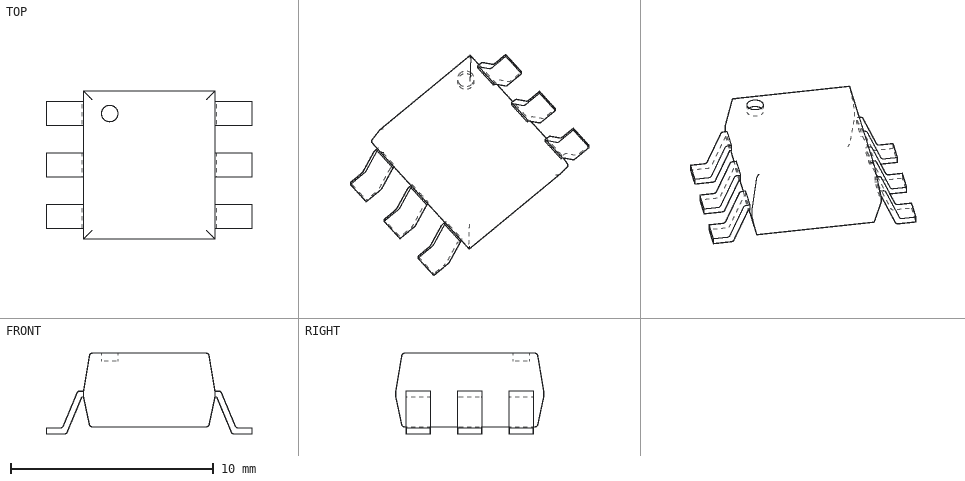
import cadquery as cq
import math

LEAD_SPAN = 10.16
BODY_LENGTH = 6.49
BODY_WIDTH = 7.3
TOTAL_HEIGHT = 4.0
STANDOFF = 0.35

LEAD_THICKNESS = 0.3
BAND_TOP = 2.12
BAND_BOTTOM = BAND_TOP - LEAD_THICKNESS

UPPER_DRAFT = 9.5
LOWER_DRAFT = 12.0
BODY_FILLET = 0.17

MARK_DIAMETER = 0.81
MARK_DEPTH = 0.4
MARK_X = -1.95

LEADS_PER_SIDE = 3
LEAD_PITCH = 2.54
LEAD_WIDTH = 1.2
FOOT_LENGTH = 0.79
SHOULDER_LENGTH = 0.28
BEND_RADIUS = 0.15


def make_half(start_z, height, draft):
    """One drafted half of the body, widest at the band; a negative height goes down."""
    half = (
        cq.Workplane("XY")
        .workplane(offset=start_z)
        .rect(BODY_LENGTH, BODY_WIDTH)
        .extrude(height, taper=draft)
    )
    end_face = ">Z" if height > 0 else "<Z"
    return half.faces(end_face).edges().fillet(BODY_FILLET)


def make_body():
    """Molded body: a straight band between two drafted halves, with the pin-one mark."""
    band = (
        cq.Workplane("XY")
        .workplane(offset=BAND_BOTTOM)
        .rect(BODY_LENGTH, BODY_WIDTH)
        .extrude(LEAD_THICKNESS)
    )
    upper = make_half(BAND_TOP, TOTAL_HEIGHT - BAND_TOP, UPPER_DRAFT)
    lower = make_half(BAND_BOTTOM, STANDOFF - BAND_BOTTOM, LOWER_DRAFT)
    mark = (
        cq.Workplane("XY")
        .workplane(offset=TOTAL_HEIGHT - MARK_DEPTH)
        .center(MARK_X, LEAD_PITCH)
        .circle(MARK_DIAMETER / 2)
        .extrude(MARK_DEPTH)
    )
    return band.union(upper).union(lower).cut(mark)


def make_lead(y_center):
    """Lead on the +X side: shoulder, sloping leg and foot of one thickness."""
    body_face = BODY_LENGTH / 2
    tip = LEAD_SPAN / 2
    shoulder_bend = body_face + SHOULDER_LENGTH
    foot_bend = tip - FOOT_LENGTH

    leg_angle = math.atan2(BAND_TOP - LEAD_THICKNESS, foot_bend - shoulder_bend)
    bend_shift = LEAD_THICKNESS * math.tan(leg_angle / 2)

    upper_outer = (shoulder_bend, BAND_TOP)
    upper_inner = (shoulder_bend - bend_shift, BAND_BOTTOM)
    lower_inner = (foot_bend, LEAD_THICKNESS)
    lower_outer = (foot_bend - bend_shift, 0)

    lead = (
        cq.Workplane("XZ", origin=(0, y_center, 0))
        .moveTo(body_face, BAND_TOP)
        .lineTo(*upper_outer)
        .lineTo(*lower_inner)
        .lineTo(tip, LEAD_THICKNESS)
        .lineTo(tip, 0)
        .lineTo(*lower_outer)
        .lineTo(*upper_inner)
        .lineTo(body_face, BAND_BOTTOM)
        .close()
        .extrude(LEAD_WIDTH / 2, both=True)
    )
    for x, z in (upper_outer, lower_inner, lower_outer):
        bend_edge = lead.edges(cq.NearestToPointSelector((x, y_center, z)))
        lead = bend_edge.fillet(BEND_RADIUS)
    return lead


body = make_body()

leads = []
for row in range(LEADS_PER_SIDE):
    y_center = (row - (LEADS_PER_SIDE - 1) / 2) * LEAD_PITCH
    right_lead = make_lead(y_center)
    left_lead = right_lead.mirror("YZ")
    leads += [right_lead.solids().val(), left_lead.solids().val()]

result = cq.Compound.makeCompound([body.solids().val(), *leads])